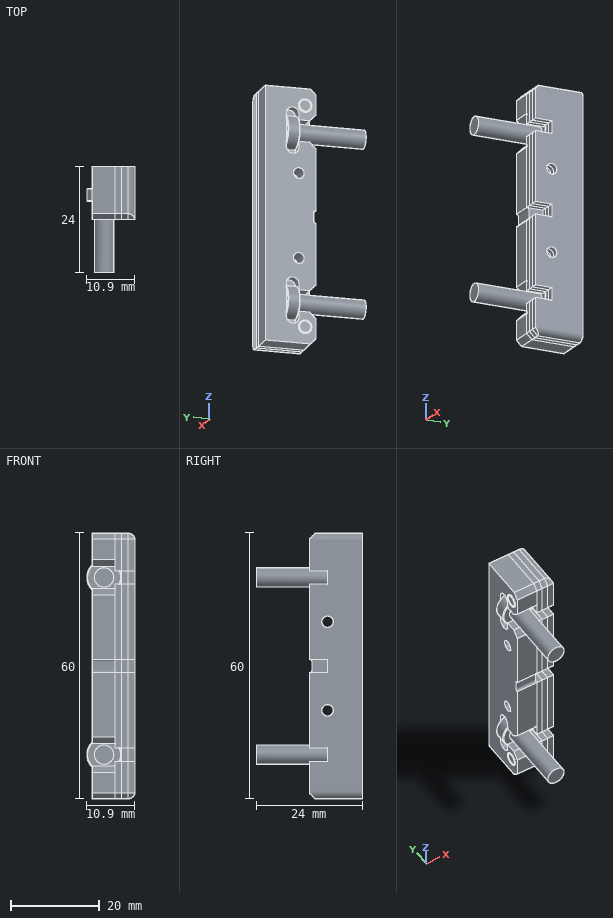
import cadquery as cq
import math

LENGTH = 60.0
DEPTH = 12.0
BLOCK_THICKNESS = 5.2
PLATE_THICKNESS = 1.45
COVER_THICKNESS = 1.6
CORNER_CHAMFER = 1.3

PLATE_START = BLOCK_THICKNESS
SHIM_START = PLATE_START + PLATE_THICKNESS
COVER_START = SHIM_START + PLATE_THICKNESS
STACK_THICKNESS = COVER_START + COVER_THICKNESS

SCREW_Z = LENGTH / 3
SCREW_X = 2.7
WHEEL_RADIUS = 3.9
WHEEL_THICKNESS = 2.95
WHEEL_CHAMFER = 0.2
WHEEL_FRONT = 4.1
STUD_DIAMETER = 4.4
STUD_OVERHANG = 12.0

WHEEL_SLOT_LENGTH = 10.85
WHEEL_SLOT_DEPTH = SCREW_X
STUD_NOTCH_WIDTH = 5.05
STUD_NOTCH_CHAMFER = 1.5
PLATE_NOTCH_WIDTH = 3.0

MIDDLE_NOTCH_DEPTH = 0.55

HOLE_DIAMETER = 2.5
HOLE_Y = 4.1
HOLE_Z = LENGTH / 6
PIN_DIAMETER = 3.1
PIN_CHAMFER = 0.25
PIN_Y = 2.6
PIN_Z = 26.05

BOTH_ENDS = (-1, 1)


def box(x, y, z_size, x_start=0.0, z_center=0.0):
    """Box that starts at the front edge, centred along Z."""
    at_origin = cq.Workplane("XY").box(x, y, z_size, centered=(False, False, True))
    return at_origin.translate((x_start, 0, z_center))


def x_cylinder(diameter, length, y, z):
    """Cylinder along X that starts at X = 0."""
    return cq.Workplane("YZ").center(y, z).circle(diameter / 2).extrude(length)


def wheel_disc(z):
    """Plain disc with the outer size of a thumbwheel."""
    return (
        cq.Workplane("XZ", origin=(SCREW_X, WHEEL_FRONT + WHEEL_THICKNESS, z))
        .circle(WHEEL_RADIUS)
        .extrude(WHEEL_THICKNESS)
    )


def layer(x_start, thickness):
    """Plain plate with chamfered front corners and the two through holes."""
    body = box(thickness, DEPTH, LENGTH, x_start).faces("<Y").edges("|X").chamfer(CORNER_CHAMFER)
    for end in BOTH_ENDS:
        body = body.cut(x_cylinder(HOLE_DIAMETER, STACK_THICKNESS, HOLE_Y, end * HOLE_Z))
    return body


def cut_wheel_recesses(body):
    """Cut the round recesses that the thumbwheels turn in."""
    for end in BOTH_ENDS:
        body = body.cut(wheel_disc(end * SCREW_Z))
    return body


def wheel_slot(z):
    """Cutter for the round-ended slot that opens a thumbwheel's recess on the block's outer face."""
    return (
        cq.Workplane("YZ")
        .center(WHEEL_FRONT + WHEEL_THICKNESS / 2, z)
        .slot2D(WHEEL_SLOT_LENGTH, WHEEL_THICKNESS, 90)
        .extrude(WHEEL_SLOT_DEPTH)
    )


def cut_plate_notches(body):
    """Cut the three square notches in the front edge of a plate."""
    for z in (-SCREW_Z, 0, SCREW_Z):
        body = body.cut(box(STACK_THICKNESS, WHEEL_FRONT, PLATE_NOTCH_WIDTH, z_center=z))
    return body


def front_groove(depth, width, chamfer, z_center):
    """Cutter for a groove in the block's front edge with chamfered mouth."""
    half = width / 2
    mouth = half + chamfer
    profile = [
        (0, -mouth),
        (chamfer, -half),
        (depth, -half),
        (depth, half),
        (chamfer, half),
        (0, mouth),
    ]
    return (
        cq.Workplane("YZ")
        .center(0, z_center)
        .polyline(profile)
        .close()
        .extrude(BLOCK_THICKNESS)
    )


def middle_groove():
    """Cutter for the block's middle notch, whose flanks are quarter rounds as deep as the notch."""
    radius = MIDDLE_NOTCH_DEPTH
    half = PLATE_NOTCH_WIDTH / 2
    flat = half - radius
    bulge = radius * math.sqrt(0.5)
    return (
        cq.Workplane("YZ")
        .moveTo(0, -half)
        .threePointArc((bulge, -flat - bulge), (radius, -flat))
        .lineTo(radius, flat)
        .threePointArc((bulge, flat + bulge), (0, half))
        .close()
        .extrude(BLOCK_THICKNESS)
    )


def make_block():
    """Thick plate that carries the thumbscrews and the dowel pins."""
    body = cut_wheel_recesses(layer(0, BLOCK_THICKNESS))
    body = body.cut(middle_groove())
    for end in BOTH_ENDS:
        body = body.cut(wheel_slot(end * SCREW_Z))
        body = body.cut(front_groove(WHEEL_FRONT, STUD_NOTCH_WIDTH, STUD_NOTCH_CHAMFER, end * SCREW_Z))
        body = body.cut(x_cylinder(PIN_DIAMETER, BLOCK_THICKNESS, PIN_Y, end * PIN_Z))
    return body


def make_plate():
    """Plate against the block, partly entered by the thumbwheels."""
    return cut_plate_notches(cut_wheel_recesses(layer(PLATE_START, PLATE_THICKNESS)))


def make_shim():
    """Plain notched plate under the cover."""
    return cut_plate_notches(layer(SHIM_START, PLATE_THICKNESS))


def make_cover():
    """Outermost plate, whose ends are rounded over its whole thickness."""
    rounded_stack = box(STACK_THICKNESS, DEPTH, LENGTH).faces(">X").edges("|Y").fillet(COVER_THICKNESS)
    return cut_plate_notches(layer(COVER_START, COVER_THICKNESS).intersect(rounded_stack))


def make_thumbscrew(z):
    """Thumbwheel with its stud in one piece."""
    wheel = wheel_disc(z).edges().chamfer(WHEEL_CHAMFER)
    stud = (
        cq.Workplane("XZ", origin=(SCREW_X, WHEEL_FRONT, z))
        .circle(STUD_DIAMETER / 2)
        .extrude(WHEEL_FRONT + STUD_OVERHANG)
    )
    return wheel.union(stud)


def make_pin(z):
    """Dowel pin, flush with both faces of the block."""
    return x_cylinder(PIN_DIAMETER, BLOCK_THICKNESS, PIN_Y, z).faces("<X").chamfer(PIN_CHAMFER)


block = make_block()
plate = make_plate()
shim = make_shim()
cover = make_cover()
thumbscrews = [make_thumbscrew(end * SCREW_Z) for end in BOTH_ENDS]
pins = [make_pin(end * PIN_Z) for end in BOTH_ENDS]

bodies = [block, plate, shim, cover, *thumbscrews, *pins]
result = cq.Compound.makeCompound([body.val() for body in bodies])